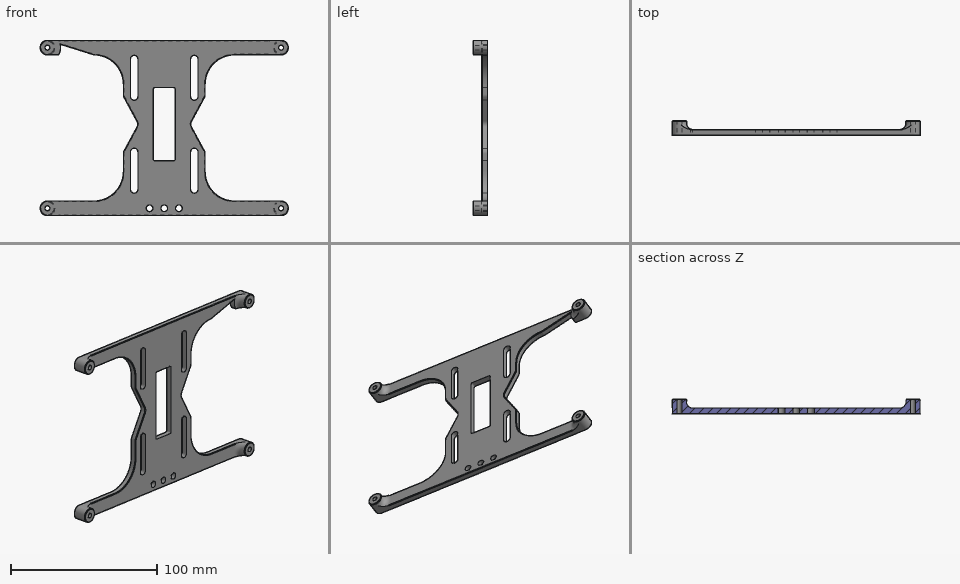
import cadquery as cq
WIDTH = 170.0
HEIGHT = 120.0
BOSS_LENGTH = 10.0
PLATE_THICKNESS = 4.0
ARM_WIDTH = 10.0
EDGE_BREAK = 0.5

WEB_WIDTH = 56.1
ARM_FLARE_RADIUS = 20.0
MIDLINE_Z = 2.5
NOTCH_DEPTH = 10.4
NOTCH_HALF_HEIGHT = 19.2
NOTCH_RADIUS = 4.0

BOSS_RADIUS = ARM_WIDTH / 2
BOSS_BLEND_RADIUS = 4.0
BOSS_HOLE_DIAMETER = 3.2

WINDOW_WIDTH = 15.0
WINDOW_HEIGHT = 50.0
WINDOW_CORNER_RADIUS = 1.0
SLOT_WIDTH = 5.0
SLOT_LENGTH = 30.6
SLOT_X = 20.5
SLOT_OFFSET_Z = 31.8
LOWER_HOLE_DIAMETER = 4.5
LOWER_HOLE_PITCH = 10.0

BACK_Y = BOSS_LENGTH / 2
FRONT_Y = -BACK_Y
PLATE_BACK_Y = FRONT_Y + PLATE_THICKNESS
BLEND_TOP_Y = PLATE_BACK_Y + BOSS_BLEND_RADIUS
TOP_Z = HEIGHT / 2
ARM_INNER_Z = TOP_Z - ARM_WIDTH
BOSS_X = WIDTH / 2 - BOSS_RADIUS
BOSS_Z = TOP_Z - BOSS_RADIUS
WEB_HALF = WEB_WIDTH / 2
FLARE_X = WEB_HALF + ARM_FLARE_RADIUS
FLARE_Z = ARM_INNER_Z - ARM_FLARE_RADIUS
NOTCH_X = WEB_HALF - NOTCH_DEPTH
NOTCH_TOP = MIDLINE_Z + NOTCH_HALF_HEIGHT
NOTCH_BOTTOM = MIDLINE_Z - NOTCH_HALF_HEIGHT
BOSS_CENTRES = [(x, z) for x in (-BOSS_X, BOSS_X) for z in (-BOSS_Z, BOSS_Z)]

SELECT_MARGIN = 0.2


def front_sketch():
    """Sketch plane on the front face: local axes are X and Z, negative extrusion goes to +Y."""
    return cq.Workplane("XZ", origin=(0, FRONT_Y, 0))


def round_notch_corners(web):
    """Round the corners where each V notch meets the web sides, and its tip."""
    m = SELECT_MARGIN
    for x in (-WEB_HALF, -NOTCH_X, NOTCH_X, WEB_HALF):
        low = (x - m, FRONT_Y - m, NOTCH_BOTTOM - m)
        high = (x + m, PLATE_BACK_Y + m, NOTCH_TOP + m)
        web = web.edges("|Y").edges(cq.selectors.BoxSelector(low, high)).fillet(NOTCH_RADIUS)
    return web


def plate():
    """Flat plate: two arms joined by a notched, flared web, with its back outline chamfered."""
    sharp = (
        front_sketch()
        .moveTo(-BOSS_X, TOP_Z)
        .lineTo(BOSS_X, TOP_Z)
        .lineTo(BOSS_X, ARM_INNER_Z)
        .lineTo(FLARE_X, ARM_INNER_Z)
        .radiusArc((WEB_HALF, FLARE_Z), -ARM_FLARE_RADIUS)
        .lineTo(WEB_HALF, NOTCH_TOP)
        .lineTo(NOTCH_X, MIDLINE_Z)
        .lineTo(WEB_HALF, NOTCH_BOTTOM)
        .lineTo(WEB_HALF, -FLARE_Z)
        .radiusArc((FLARE_X, -ARM_INNER_Z), -ARM_FLARE_RADIUS)
        .lineTo(BOSS_X, -ARM_INNER_Z)
        .lineTo(BOSS_X, -TOP_Z)
        .lineTo(-BOSS_X, -TOP_Z)
        .lineTo(-BOSS_X, -ARM_INNER_Z)
        .lineTo(-FLARE_X, -ARM_INNER_Z)
        .radiusArc((-WEB_HALF, -FLARE_Z), -ARM_FLARE_RADIUS)
        .lineTo(-WEB_HALF, NOTCH_BOTTOM)
        .lineTo(-NOTCH_X, MIDLINE_Z)
        .lineTo(-WEB_HALF, NOTCH_TOP)
        .lineTo(-WEB_HALF, FLARE_Z)
        .radiusArc((-FLARE_X, ARM_INNER_Z), -ARM_FLARE_RADIUS)
        .close()
        .extrude(-PLATE_THICKNESS)
    )
    return round_notch_corners(sharp).faces(">Y").edges().chamfer(EDGE_BREAK)


def half_turn(profile, start_angle):
    """Revolve a closed profile half a turn about the Y axis, then turn it to start_angle."""
    return profile.revolve(180, (0, 0), (0, 1)).rotate((0, 0, 0), (0, 1, 0), start_angle)


def boss():
    """Boss for a left-hand arm end: plain outer half, inner half blended into the plate."""
    foot_radius = BOSS_RADIUS + BOSS_BLEND_RADIUS
    rim_start = (BOSS_RADIUS, BACK_Y - EDGE_BREAK)
    rim_end = (BOSS_RADIUS - EDGE_BREAK, BACK_Y)
    plain_profile = (
        cq.Workplane("XY")
        .moveTo(0, BACK_Y)
        .lineTo(0, FRONT_Y)
        .lineTo(BOSS_RADIUS, FRONT_Y)
        .lineTo(*rim_start)
        .lineTo(*rim_end)
        .close()
    )
    blended_profile = (
        cq.Workplane("XY")
        .moveTo(0, BACK_Y)
        .lineTo(0, FRONT_Y)
        .lineTo(foot_radius, FRONT_Y)
        .lineTo(foot_radius, PLATE_BACK_Y)
        .radiusArc((BOSS_RADIUS, BLEND_TOP_Y), BOSS_BLEND_RADIUS)
        .lineTo(*rim_start)
        .lineTo(*rim_end)
        .close()
    )
    arm_band = cq.Workplane("XY").box(3 * foot_radius, 2 * BOSS_LENGTH, ARM_WIDTH)
    inner_half = half_turn(blended_profile, -90).intersect(arm_band)
    return half_turn(plain_profile, 90).union(inner_half)


def window():
    """Rectangular opening with rounded corners."""
    return (
        front_sketch()
        .center(0, MIDLINE_Z)
        .rect(WINDOW_WIDTH, WINDOW_HEIGHT)
        .extrude(-BOSS_LENGTH)
        .edges("|Y")
        .fillet(WINDOW_CORNER_RADIUS)
    )


def slots():
    """Four upright slots, two on each side of the window."""
    offsets = (-SLOT_OFFSET_Z, SLOT_OFFSET_Z)
    centres = [(x, MIDLINE_Z + dz) for x in (-SLOT_X, SLOT_X) for dz in offsets]
    return front_sketch().pushPoints(centres).slot2D(SLOT_LENGTH, SLOT_WIDTH, 90).extrude(-BOSS_LENGTH)


def holes(centres, diameter):
    """Round holes through the full depth of the part."""
    return front_sketch().pushPoints(centres).circle(diameter / 2).extrude(-BOSS_LENGTH)


frame = plate()
left_boss = boss()
for boss_x, boss_z in BOSS_CENTRES:
    facing = 180 if boss_x > 0 else 0
    frame = frame.union(left_boss.rotate((0, 0, 0), (0, 1, 0), facing).translate((boss_x, 0, boss_z)))

lower_hole_centres = [(i * LOWER_HOLE_PITCH, -BOSS_Z) for i in (-1, 0, 1)]
openings = (
    window()
    .union(slots())
    .union(holes(BOSS_CENTRES, BOSS_HOLE_DIAMETER))
    .union(holes(lower_hole_centres, LOWER_HOLE_DIAMETER))
)
result = frame.cut(openings)